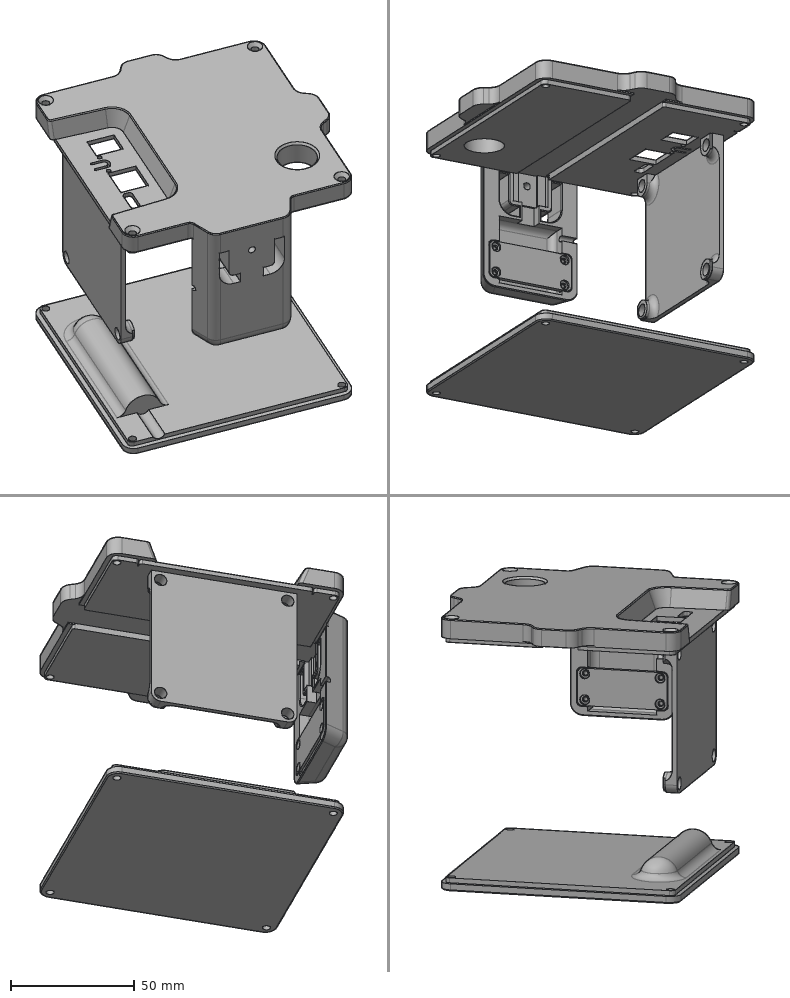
import cadquery as cq
import math


CASE_SIZE = 100.5
CASE_CORNER_R = 5.0
CASE_DEPTH = 8.0
TOP_CHAMFER = 0.4
LIP_INSET = 2.0
LIP_HEIGHT = 2.0
LIP_CORNER_R = 2.0
LIP_SIZE = CASE_SIZE - 2 * LIP_INSET
HOUSING_DEPTH = CASE_DEPTH + LIP_HEIGHT
HALF_CASE = CASE_SIZE / 2

LEFT_LUG_REACH = 7.0
BACK_LUG_REACH = 7.0
LUG_DEPTH = 7.4
LUG_TIP_WIDTH = 16.0
LUG_ANGLE = 60.0
LUG_BLEND_R = 5.0

SCREW_OFFSET = 46.0
SCREW_HOLE_D = 3.2
SCREW_HEAD_D = 6.2

PORT_CENTRE = (26.5, 34.5)
PORT_D = 16.4
PORT_RIM_D = 18.2

POCKET_BACK_Y = -21.0
POCKET_BACK_HALF = 28.8
POCKET_FRONT_HALF = 30.2
POCKET_CORNER_R = 5.0
POCKET_TAPER = 20.0
POCKET_MOUTH_R = 1.5

WINDOW_FRONT_Y = -37.0
WINDOWS = [(-23.8, -14.0, -25.2), (-1.6, 12.0, -24.8)]
SLOT_X = (13.3, 23.5)
SLOT_WIDTH = 4.0
SLOT_CORNER_R = 1.4
LATCH_X = -7.75
LATCH_Y = -36.2
LATCH_OUTER_R = 2.6
LATCH_INNER_R = 1.4
LATCH_LEG = 5.0
PIN_HOLE_D = 1.8
PIN_HOLE_SPACING = 9.4

DUCT_WIDTH = 15.0
LIP_END_R = 1.0
LIP_NOTCH_X = 37.1
LIP_NOTCH_WIDTH = 0.5
LIP_NOTCH_LENGTH = 2.0

ARM_WIDTH = 44.0
ARM_REACH = 11.5
ARM_TIP_WIDTH = 34.0
ARM_HEIGHT = 60.0
ARM_EDGE_R = 5.0
ARM_ROOT_R = 2.0
ARM_CHAMFER = 0.4

TONGUE_WIDTH = 20.0
TONGUE_BOTTOM_Z = -23.2
TONGUE_CORNER_R = 2.0
TONGUE_GAP = 4.3
TONGUE_WALL = 2.0
TONGUE_CHANNEL_DEPTH = 2.0
TONGUE_HOLE_D = 3.0
TONGUE_HOLE_Z = -12.5
NECK_WIDTH = 10.0
CHANNEL_GROOVE_WIDTH = 8.8
CHANNEL_GROOVE_DEPTH = 3.0
NECK_GROOVE_WIDTH = 7.8
NECK_GROOVE_DEPTH = 4.0

CHAMBER_SIZE = 29.0
CHAMBER_TOP_Z = -29.0
CHAMBER_DEPTH = 7.0
CHAMBER_FLOOR_R = 3.0
COVER_Z = -48.0
COVER_WIDTH = 37.8
COVER_HEIGHT = 15.6
COVER_CORNER_R = 2.0
COVER_THICKNESS = 2.0
COVER_CLEARANCE = 0.4
COVER_SCREW_Y = 15.85
COVER_SCREW_Z = 5.4
COVER_HOLE_D = 2.3
COVER_HEAD_D = 4.0
COVER_HEAD_DEPTH = 1.0
PILOT_D = 1.8
PILOT_DEPTH = 5.0
WIRE_GROOVE_Z = -33.4
WIRE_GROOVE_D = 2.3

BOARD_SIZE = 62.0
BOARD_THICKNESS = 2.0
BOARD_FRONT_Y = -44.75
BOARD_CORNER_R = 4.0
BOARD_HOLE_D = 5.2
POST_R = 4.4
POST_HEIGHT = 4.0
POST_FLARE_R = 2.8
POST_CAP_HEIGHT = 0.9
POST_CAP_INSET = 0.5

BASE_BOTTOM_Z = -113.0
BASE_THICKNESS = 3.0
BASE_CHAMFER = 0.5
HUMP_Y = -35.25
HUMP_R = 8.0
HUMP_FLARE_R = 4.0
HUMP_END_X = BOARD_SIZE / 2
HUMP_START_X = -HUMP_END_X + HUMP_R
BASE_GROOVE_D = 6.0
BASE_GROOVE_DEPTH = 1.5


def block(x_range, y_range, z_range):
    """Axis-aligned box given by its limits."""
    (x0, x1), (y0, y1), (z0, z1) = x_range, y_range, z_range
    return cq.Workplane("XY").box(x1 - x0, y1 - y0, z1 - z0, centered=False).translate((x0, y0, z0))


def rounded_plate(size, corner_r, bottom_z, height):
    """Square plate with rounded corners, centred on the Z axis."""
    plate = cq.Workplane("XY").workplane(offset=bottom_z).rect(size, size).extrude(height)
    return plate.edges("|Z").fillet(corner_r)


def corners(half_u, half_v):
    """The four corner points of a centred rectangle."""
    return [(u, v) for u in (-half_u, half_u) for v in (-half_v, half_v)]



def lug(reach):
    """Lug on the left side: a flat tip joined to the side by sloping flanks with rounded bends."""
    tip_half = LUG_TIP_WIDTH / 2
    root_half = tip_half + reach / math.tan(math.radians(LUG_ANGLE))
    wing_half = root_half + LUG_BLEND_R
    root_x = -HALF_CASE
    tip_x = root_x - reach
    inner_x = root_x + LUG_BLEND_R
    outline = [
        (inner_x, wing_half),
        (root_x, wing_half),
        (root_x, root_half),
        (tip_x, tip_half),
        (tip_x, -tip_half),
        (root_x, -root_half),
        (root_x, -wing_half),
        (inner_x, -wing_half),
    ]
    body = cq.Workplane("XY").polyline(outline).close().extrude(-LUG_DEPTH)
    bends = cq.selectors.BoxSelector(
        (tip_x - 1, -wing_half + 1, -LUG_DEPTH), (root_x + 1, wing_half - 1, 0)
    )
    return body.edges("|Z").edges(bends).fillet(LUG_BLEND_R)


def arm_outline(depth):
    """Prism of the arm's plan shape, narrowing from root to tip, down to a given depth."""
    root_x = HALF_CASE
    tip_x = root_x + ARM_REACH
    root_half = ARM_WIDTH / 2
    tip_half = ARM_TIP_WIDTH / 2
    outline = [(root_x, -root_half), (tip_x, -tip_half), (tip_x, tip_half), (root_x, root_half)]
    prism = cq.Workplane("XY").polyline(outline).close().extrude(-depth)
    return prism.edges("|Z and >X").fillet(ARM_EDGE_R)


def hanging_arm():
    """Part of the arm below the block, slotted, with its lower end rounded."""
    body = arm_outline(ARM_HEIGHT).cut(arm_outline(CASE_DEPTH))
    body = body.faces("<Z").edges("not <X").fillet(ARM_EDGE_R)
    return body.cut(tongue_slot()).faces("<X").edges().chamfer(ARM_CHAMFER)


def upper_block():
    """Block with its lugs and the root of the arm, in plan as one rounded outline."""
    body = rounded_plate(CASE_SIZE, CASE_CORNER_R, -CASE_DEPTH, CASE_DEPTH)
    left_lug = lug(LEFT_LUG_REACH)
    back_lug = lug(BACK_LUG_REACH).rotate((0, 0, 0), (0, 0, 1), -90)
    body = body.union(left_lug).union(back_lug).union(arm_outline(CASE_DEPTH))
    root_y = ARM_WIDTH / 2
    roots = cq.selectors.BoxSelector(
        (HALF_CASE - 0.1, -root_y - 0.1, -CASE_DEPTH), (HALF_CASE + 0.1, root_y + 0.1, 0)
    )
    return body.edges("|Z").edges(roots).fillet(ARM_ROOT_R)


def front_pocket():
    """Cutter for the front pocket: sloping walls, rounded back corners, flared mouth."""
    front_y = -HALF_CASE
    run = (POCKET_FRONT_HALF - POCKET_BACK_HALF) / (POCKET_BACK_Y - front_y)
    beyond = 10.0
    far_half = POCKET_FRONT_HALF + run * beyond
    outline = [
        (-POCKET_BACK_HALF, POCKET_BACK_Y),
        (POCKET_BACK_HALF, POCKET_BACK_Y),
        (far_half, front_y - beyond),
        (-far_half, front_y - beyond),
    ]
    floor = cq.Sketch().polygon(outline + outline[:1]).vertices(">Y").fillet(POCKET_CORNER_R)
    cutter = cq.Workplane("XY").workplane(offset=-CASE_DEPTH).placeSketch(floor)
    return cutter.extrude(CASE_DEPTH, taper=-POCKET_TAPER)


def cut_front_pocket(body):
    """Cuts the pocket and rounds the two edges where its side walls meet the front face."""
    body = body.cut(front_pocket())
    reach = POCKET_FRONT_HALF + CASE_DEPTH
    mouth = cq.selectors.BoxSelector(
        (-reach, -HALF_CASE - 0.1, -CASE_DEPTH * 0.75), (reach, -HALF_CASE + 0.1, -CASE_DEPTH * 0.25)
    )
    return body.edges(mouth).fillet(POCKET_MOUTH_R)


def floor_openings():
    """Cutters through the pocket floor: two windows, a slot, a latch outline and pin holes."""
    z_range = (-HOUSING_DEPTH, -CASE_DEPTH)
    cutter = block(SLOT_X, (WINDOW_FRONT_Y, WINDOW_FRONT_Y + SLOT_WIDTH), z_range)
    cutter = cutter.edges("|Z").fillet(SLOT_CORNER_R)
    for x_min, x_max, y_max in WINDOWS:
        cutter = cutter.union(block((x_min, x_max), (WINDOW_FRONT_Y, y_max), z_range))

    floor = cq.Workplane("XY").workplane(offset=-HOUSING_DEPTH)
    leg_end = LATCH_Y - LATCH_LEG
    latch = floor.center(LATCH_X, LATCH_Y).circle(LATCH_OUTER_R).circle(LATCH_INNER_R).extrude(LIP_HEIGHT)
    latch = latch.cut(block((LATCH_X - LATCH_OUTER_R, LATCH_X + LATCH_OUTER_R), (leg_end, LATCH_Y), z_range))
    for side in (-1, 1):
        inner = LATCH_X + side * LATCH_INNER_R
        outer = LATCH_X + side * LATCH_OUTER_R
        leg = block((min(inner, outer), max(inner, outer)), (leg_end, LATCH_Y), z_range)
        latch = latch.union(leg.edges("|Z and <Y").fillet((LATCH_OUTER_R - LATCH_INNER_R) * 0.45))
    pins = floor.center(LATCH_X, LATCH_Y).rarray(PIN_HOLE_SPACING, 1, 2, 1).circle(PIN_HOLE_D / 2)
    return cutter.union(latch).union(pins.extrude(LIP_HEIGHT))


def lip_cuts():
    """Cable duct across the underside and two narrow notches in the front of the lip."""
    duct_half = DUCT_WIDTH / 2
    duct = block((-HALF_CASE, HALF_CASE), (-duct_half, duct_half), (-HOUSING_DEPTH, -LUG_DEPTH))
    lip_front = -LIP_SIZE / 2
    cutter = duct
    for side in (-1, 1):
        x_min = side * LIP_NOTCH_X - LIP_NOTCH_WIDTH / 2
        notch = block(
            (x_min, x_min + LIP_NOTCH_WIDTH),
            (lip_front, lip_front + LIP_NOTCH_LENGTH),
            (-HOUSING_DEPTH, -CASE_DEPTH),
        )
        cutter = cutter.union(notch)
    return cutter


def round_lip_ends(body):
    """Rounds the outer corners of the lip beside the duct and beside the front notches."""
    edge = LIP_SIZE / 2
    duct_ends = cq.selectors.BoxSelector(
        (-edge - 0.1, -DUCT_WIDTH, -HOUSING_DEPTH), (-edge + 0.1, DUCT_WIDTH, -CASE_DEPTH)
    )
    body = body.edges("|Z").edges(duct_ends).fillet(LIP_END_R)
    reach = LIP_NOTCH_X + LIP_NOTCH_WIDTH
    notch_ends = cq.selectors.BoxSelector(
        (-reach, -edge - 0.1, -HOUSING_DEPTH), (reach, -edge + 0.1, -CASE_DEPTH)
    )
    return body.edges("|Z").edges(notch_ends).fillet(LIP_END_R)


def top_holes():
    """Cutters for the four countersunk corner screws and the round opening with its rim."""
    screws = (
        cq.Workplane("XY")
        .rect(2 * SCREW_OFFSET, 2 * SCREW_OFFSET, forConstruction=True)
        .vertices()
        .circle(SCREW_HOLE_D / 2)
        .extrude(-HOUSING_DEPTH)
    )
    sink_depth = (SCREW_HEAD_D - SCREW_HOLE_D) / 2
    sink = cq.Solid.makeCone(SCREW_HEAD_D / 2, SCREW_HOLE_D / 2, sink_depth, dir=(0, 0, -1))
    for x, y in corners(SCREW_OFFSET, SCREW_OFFSET):
        screws = screws.union(cq.Workplane(sink.translate((x, y, 0))))
    port = cq.Workplane("XY").center(*PORT_CENTRE).circle(PORT_D / 2).extrude(-HOUSING_DEPTH)
    rim = cq.Solid.makeCone(PORT_RIM_D / 2, PORT_D / 2, (PORT_RIM_D - PORT_D) / 2, dir=(0, 0, -1))
    return screws.union(port).union(cq.Workplane(rim.translate((*PORT_CENTRE, 0))))


def face_block(width, z_range, depth):
    """Block sunk from the arm's inner face, centred on Y = 0."""
    return block((HALF_CASE, HALF_CASE + depth), (-width / 2, width / 2), z_range)


def tongue_slot():
    """U-shaped slot through the arm, interrupted by the neck below the tongue."""
    outer_width = TONGUE_WIDTH + 2 * TONGUE_GAP
    outer_bottom = TONGUE_BOTTOM_Z - TONGUE_GAP
    outer = face_block(outer_width, (outer_bottom, -HOUSING_DEPTH), ARM_REACH)
    outer = outer.edges("|X and <Z").fillet(TONGUE_CORNER_R + TONGUE_GAP)
    inner = face_block(TONGUE_WIDTH, (TONGUE_BOTTOM_Z, -HOUSING_DEPTH), ARM_REACH)
    inner = inner.edges("|X and <Z").fillet(TONGUE_CORNER_R)
    neck = face_block(NECK_WIDTH, (outer_bottom, TONGUE_BOTTOM_Z), ARM_REACH)
    return outer.cut(inner).cut(neck)


def cable_channel():
    """Channel down the tongue, and a narrower groove on through the neck to the chamber."""
    channel_bottom = TONGUE_BOTTOM_Z + TONGUE_WALL
    channel = face_block(TONGUE_WIDTH - 2 * TONGUE_WALL, (channel_bottom, -LUG_DEPTH), TONGUE_CHANNEL_DEPTH)
    groove = face_block(CHANNEL_GROOVE_WIDTH, (channel_bottom, -LUG_DEPTH), CHANNEL_GROOVE_DEPTH)
    neck_groove = face_block(NECK_GROOVE_WIDTH, (CHAMBER_TOP_Z, channel_bottom), NECK_GROOVE_DEPTH)
    hole = cq.Workplane("YZ").workplane(offset=HALF_CASE).center(0, TONGUE_HOLE_Z)
    hole = hole.circle(TONGUE_HOLE_D / 2).extrude(ARM_REACH)
    return channel.union(groove).union(neck_groove).union(hole)


def arm_chamber():
    """Chamber with a rounded floor, the recess for its cover, and the cover's pilot holes."""
    chamber = face_block(CHAMBER_SIZE, (CHAMBER_TOP_Z - CHAMBER_SIZE, CHAMBER_TOP_Z), CHAMBER_DEPTH)
    chamber = chamber.faces(">X").edges().fillet(CHAMBER_FLOOR_R)
    recess = cover_plate(COVER_CLEARANCE)
    pilots = cover_plane().pushPoints(corners(COVER_SCREW_Y, COVER_SCREW_Z)).circle(PILOT_D / 2)
    pilots = pilots.extrude(COVER_THICKNESS + PILOT_DEPTH)
    return chamber.union(recess).union(pilots)


def wire_groove():
    """Round-bottomed groove from the chamber to the front edge of the arm."""
    r = WIRE_GROOVE_D / 2
    front = -ARM_WIDTH / 2
    straight = block((HALF_CASE, HALF_CASE + r), (front, 0), (WIRE_GROOVE_Z - r, WIRE_GROOVE_Z + r))
    bottom = cq.Solid.makeCylinder(r, -front, (HALF_CASE + r, front, WIRE_GROOVE_Z), (0, 1, 0))
    return straight.union(cq.Workplane(bottom))


def make_housing():
    """Housing: block, lip and arm in one piece, with all their openings."""
    body = cut_front_pocket(upper_block())
    body = body.faces(">Z").edges().chamfer(TOP_CHAMFER)
    lip = rounded_plate(LIP_SIZE, LIP_CORNER_R, -HOUSING_DEPTH, LIP_HEIGHT)
    body = body.union(hanging_arm()).union(lip)
    body = body.cut(lip_cuts())
    body = round_lip_ends(body)
    body = body.cut(floor_openings()).cut(top_holes())
    body = body.cut(cable_channel()).cut(arm_chamber())
    return body.cut(wire_groove())



def cover_plane():
    """Plane on the arm's inner face, centred on the cover."""
    return cq.Workplane("YZ").workplane(offset=HALF_CASE).center(0, COVER_Z)


def cover_plate(growth):
    """Cover outline as a plate, grown on every side by a given amount."""
    plate = cover_plane().rect(COVER_WIDTH + 2 * growth, COVER_HEIGHT + 2 * growth).extrude(COVER_THICKNESS)
    return plate.edges("|X").fillet(COVER_CORNER_R + growth)


def make_cover():
    """Cover plate with four counterbored screw holes."""
    points = corners(COVER_SCREW_Y, COVER_SCREW_Z)
    holes = cover_plane().pushPoints(points).circle(COVER_HOLE_D / 2).extrude(COVER_THICKNESS)
    heads = cover_plane().pushPoints(points).circle(COVER_HEAD_D / 2).extrude(COVER_HEAD_DEPTH)
    return cover_plate(0).cut(holes).cut(heads)



def board_outline(y_max, inset=0.0):
    """Board shape with rounded lower corners, its top edge on the underside of the lip."""
    half = BOARD_SIZE / 2 - inset
    z_range = (-HOUSING_DEPTH - BOARD_SIZE + inset, -HOUSING_DEPTH)
    plate = block((-half, half), (BOARD_FRONT_Y, y_max), z_range)
    return plate.edges("|Y and <Z").fillet(BOARD_CORNER_R - inset)


def post():
    """Round post with a flared foot, standing along +Y from the origin."""
    return (
        cq.Workplane("XY")
        .lineTo(POST_R + POST_FLARE_R, 0)
        .radiusArc((POST_R, POST_FLARE_R), POST_FLARE_R)
        .lineTo(POST_R, POST_HEIGHT)
        .lineTo(0, POST_HEIGHT)
        .close()
        .revolve(360, (0, 0, 0), (0, 1, 0))
    )


def make_board():
    """Board with a flared post behind each hole; the post ends are set in from the board's edge."""
    back_y = BOARD_FRONT_Y + BOARD_THICKNESS
    end_y = back_y + POST_HEIGHT
    hole_offset = BOARD_SIZE / 2 - BOARD_CORNER_R
    centre_z = -HOUSING_DEPTH - BOARD_SIZE / 2
    board = board_outline(back_y)
    limit = board_outline(end_y - POST_CAP_HEIGHT).union(board_outline(end_y, POST_CAP_INSET))
    for x, z in corners(hole_offset, hole_offset):
        solid_post = post().translate((x, back_y, centre_z + z))
        if z > 0:
            z_range = (centre_z + z, -HOUSING_DEPTH)
            solid_post = solid_post.union(block((x - POST_R, x + POST_R), (back_y, end_y), z_range))
        board = board.union(solid_post.intersect(limit))
    holes = cq.Workplane("XZ").workplane(offset=-end_y).center(0, centre_z)
    holes = holes.pushPoints(corners(hole_offset, hole_offset)).circle(BOARD_HOLE_D / 2)
    return board.cut(holes.extrude(end_y - BOARD_FRONT_Y))



def hump_section():
    """Half of the hump's section in the YZ plane: a round crown running out in a flared foot."""
    centre_distance = HUMP_R + HUMP_FLARE_R
    foot = math.sqrt(centre_distance**2 - HUMP_FLARE_R**2)
    share = HUMP_R / centre_distance
    joint = (-foot * share, HUMP_FLARE_R * share)
    return (
        cq.Workplane("YZ")
        .lineTo(-foot, 0)
        .radiusArc(joint, -HUMP_FLARE_R)
        .radiusArc((0, HUMP_R), HUMP_R)
        .close()
    )


def hump(top_z):
    """Hump along X with a domed left end and a flat right end."""
    near_half = hump_section().extrude(HUMP_END_X - HUMP_START_X)
    far_half = near_half.mirror("XZ")
    dome = hump_section().revolve(180, (0, 0, 0), (0, 1, 0))
    if dome.val().Center().x > 0:
        dome = dome.mirror("YZ")
    return near_half.union(far_half).union(dome).translate((HUMP_START_X, HUMP_Y, top_z))


def make_base():
    """Base plate with its raised lip, hump, cable groove and corner holes."""
    shoulder_z = BASE_BOTTOM_Z + BASE_THICKNESS
    lip_z = shoulder_z + LIP_HEIGHT
    plate = rounded_plate(CASE_SIZE, CASE_CORNER_R, BASE_BOTTOM_Z, BASE_THICKNESS)
    plate = plate.faces("<Z").edges().chamfer(BASE_CHAMFER)
    lip = rounded_plate(LIP_SIZE, LIP_CORNER_R, shoulder_z, LIP_HEIGHT)
    holes = cq.Workplane("XY").workplane(offset=BASE_BOTTOM_Z)
    holes = holes.pushPoints(corners(SCREW_OFFSET, SCREW_OFFSET)).circle(SCREW_HOLE_D / 2)
    holes = holes.extrude(BASE_THICKNESS + LIP_HEIGHT)
    groove_r = BASE_GROOVE_D / 2
    groove = cq.Solid.makeCylinder(
        groove_r,
        HALF_CASE - HUMP_END_X,
        (HUMP_END_X, HUMP_Y, lip_z + groove_r - BASE_GROOVE_DEPTH),
        (1, 0, 0),
    )
    return plate.union(lip).union(hump(lip_z)).cut(holes).cut(cq.Workplane(groove))


housing = make_housing()
cover = make_cover()
board = make_board()
base = make_base()

result = cq.Compound.makeCompound([housing.val(), cover.val(), board.val(), base.val()])